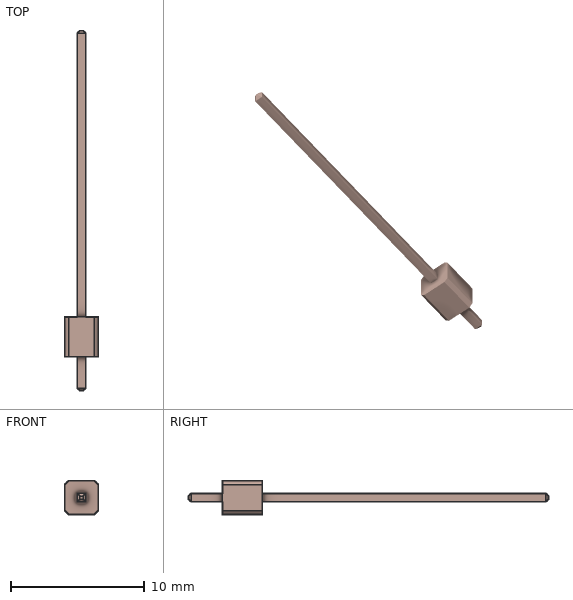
import cadquery as cq

pitch = 2.54
body_length = 3.0
body_chamfer = 0.3

pin_width = 0.64
pin_length = 27.0
short_tail_length = 2.54
tip_chamfer = 0.2


def square_bar(width, start_y, length):
    """Square bar centred on the Y axis, running toward +Y from start_y."""
    return cq.Workplane("XY").box(width, length, width).translate((0, start_y + length / 2, 0))


def make_body():
    """Housing block with its four lengthwise corners chamfered; its front face is at Y = 0."""
    return square_bar(pitch, 0, body_length).edges("|Y").chamfer(body_chamfer)


def make_pin():
    """Square pin with all four edges of each end face chamfered."""
    bar = square_bar(pin_width, -short_tail_length, pin_length)
    return bar.faces("<Y or >Y").edges().chamfer(tip_chamfer)


result = make_body().union(make_pin())